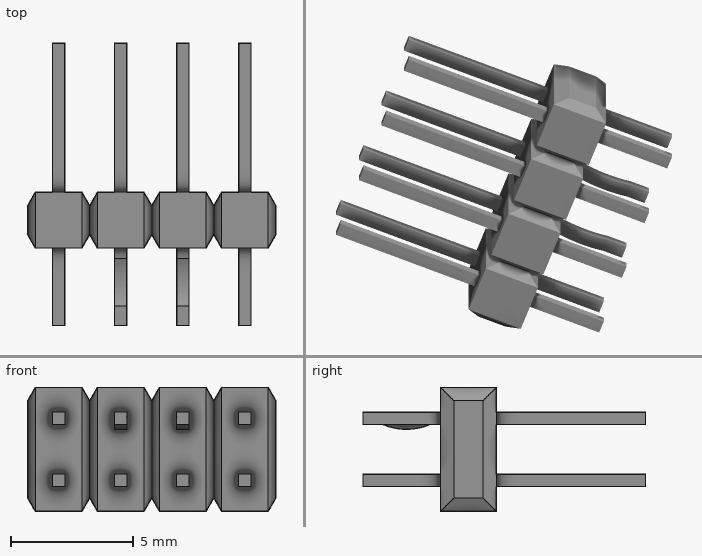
import cadquery as cq

PITCH = 2.54
COLUMNS = 4
ROWS = 2
BENT_COLUMNS = (1, 2)
TOP_ROW = ROWS - 1

BODY_LENGTH = COLUMNS * PITCH
BODY_DEPTH = 2.29
BODY_HEIGHT = ROWS * PITCH
BEVEL_WIDTH = PITCH / 8
BEVEL_INSET = 0.55

PIN_SIDE = 0.51
TOTAL_DEPTH = 11.56
BACK_PIN_LENGTH = 6.1
FRONT_PIN_LENGTH = TOTAL_DEPTH - BODY_DEPTH - BACK_PIN_LENGTH

BOW_START = 0.43
BOW_LENGTH = 1.93
BOW_SAG = 0.2

FRONT_FACE = -BODY_DEPTH / 2
FRONT_TIP = FRONT_FACE - FRONT_PIN_LENGTH
BACK_TIP = BODY_DEPTH / 2 + BACK_PIN_LENGTH


def grid_position(index, count):
    """Coordinate of one place in a row centred on the origin."""
    return (index - (count - 1) / 2) * PITCH


def make_bevel(x_middle, side):
    """Tapered end of a body segment; side is +1 toward +X and -1 toward -X."""
    x_full = x_middle + side * (PITCH / 2 - BEVEL_WIDTH)
    return (
        cq.Workplane("YZ", origin=(x_full, 0, 0))
        .rect(BODY_DEPTH, BODY_HEIGHT)
        .workplane(offset=side * BEVEL_WIDTH)
        .rect(BODY_DEPTH - 2 * BEVEL_INSET, BODY_HEIGHT - 2 * BEVEL_INSET)
        .loft(ruled=True)
    )


def make_segment(x_middle):
    """Body segment holding one column of pins, tapered at both X ends."""
    block = cq.Workplane("XY").box(PITCH - 2 * BEVEL_WIDTH, BODY_DEPTH, BODY_HEIGHT)
    segment = block.translate((x_middle, 0, 0))
    for side in (-1, 1):
        segment = segment.union(make_bevel(x_middle, side))
    return segment


def make_straight_pin(x_middle, z_middle):
    """Square pin running through the body along Y."""
    pin = cq.Workplane("XY").box(PIN_SIDE, TOTAL_DEPTH, PIN_SIDE)
    return pin.translate((x_middle, (FRONT_TIP + BACK_TIP) / 2, z_middle))


def make_bent_pin(x_middle, z_middle):
    """Square pin whose front end bows downward in an arc."""
    bow_back = FRONT_FACE - BOW_START
    bow_front = bow_back - BOW_LENGTH
    bow_middle = (bow_back + bow_front) / 2
    top = z_middle + PIN_SIDE / 2
    bottom = z_middle - PIN_SIDE / 2
    return (
        cq.Workplane("YZ", origin=(x_middle, 0, 0))
        .moveTo(BACK_TIP, top)
        .lineTo(bow_back, top)
        .threePointArc((bow_middle, top - BOW_SAG), (bow_front, top))
        .lineTo(FRONT_TIP, top)
        .lineTo(FRONT_TIP, bottom)
        .lineTo(bow_front, bottom)
        .threePointArc((bow_middle, bottom - BOW_SAG), (bow_back, bottom))
        .lineTo(BACK_TIP, bottom)
        .close()
        .extrude(PIN_SIDE / 2, both=True)
    )


def make_header():
    """Body segments joined end to end, with every pin in place."""
    core = (BODY_LENGTH, BODY_DEPTH - 2 * BEVEL_INSET, BODY_HEIGHT - 2 * BEVEL_INSET)
    header = cq.Workplane("XY").box(*core)
    for column in range(COLUMNS):
        x_middle = grid_position(column, COLUMNS)
        header = header.union(make_segment(x_middle))
        for row in range(ROWS):
            z_middle = grid_position(row, ROWS)
            is_bent = row == TOP_ROW and column in BENT_COLUMNS
            make_pin = make_bent_pin if is_bent else make_straight_pin
            header = header.union(make_pin(x_middle, z_middle))
    return header


result = make_header()